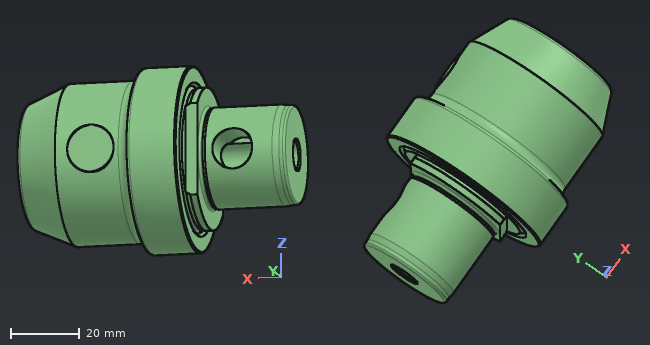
import cadquery as cq
import math

overall_length = 80.0
bore_radius = 4.2
bore_chamfer = 0.6

shank_radius = 15.0
shank_relief_radius = 14.7
shank_end_radius = 14.1
shank_corner_end = 0.7
lead_in_start = 1.8
lead_in_end = 3.8
root_taper_start = 24.1
root_taper_end = 24.9
root_fillet_radius = 0.8

collar_start = 26.1
collar_radius = 21.0
collar_straight_end = 28.2
neck_radius = 20.6
neck_start = 29.5
flats_end = 29.7
flat_half_width = 16.0
undercut_floor_radius = 21.7
undercut_mouth_radius = 22.6
neck_fillet = undercut_floor_radius - neck_radius

flange_start = 29.9
flange_radius = 27.5
flange_front_chamfer = 0.4
flange_round_start = 43.9
flange_rear_round = 1.0
head_radius = 24.0
head_root_fillet = 3.2
nose_cone_start = 67.1
nose_cone_end_x = 78.9
nose_cone_end_radius = 18.9
nose_face_radius = 17.4
nose_arc_mid_x = 79.7
nose_arc_mid_radius = 18.2

shank_hole_x = 15.8
shank_hole_diameter = 12.0
screw_x = 56.4
screw_diameter = 14.0
screw_top = head_radius


def revolve_about_x(profile):
    """Close an X-radius profile and turn it a full circle about the X axis."""
    return profile.close().revolve(360, (0, 0, 0), (1, 0, 0))


def radial_cylinder(x, diameter, inner_y, outer_y):
    """Cylinder along +Y, centred on the shank axis."""
    plane = cq.Plane(origin=(x, inner_y, 0), xDir=(1, 0, 0), normal=(0, 1, 0))
    return cq.Workplane(plane).circle(diameter / 2).extrude(outer_y - inner_y)


def wrench_flats():
    """Two blocks that trim the collar to its width across flats."""
    length = flats_end - collar_start
    depth = flange_radius - flat_half_width
    middle_x = collar_start + length / 2
    middle_y = flat_half_width + depth / 2
    return (
        cq.Workplane("XY")
        .pushPoints([(middle_x, middle_y), (middle_x, -middle_y)])
        .box(length, depth, 2 * flange_radius)
    )


def make_holder():
    """Shank, collar, flange and tapered head with a through bore."""
    round_center_radius = flange_radius - flange_rear_round
    fillet_center_radius = head_radius + head_root_fillet
    center_distance = flange_rear_round + head_root_fillet
    center_rise = fillet_center_radius - round_center_radius
    center_run = math.sqrt(center_distance**2 - center_rise**2)
    tangent_share = flange_rear_round / center_distance
    tangent_x = flange_round_start + tangent_share * center_run
    tangent_radius = round_center_radius + tangent_share * center_rise
    root_end = flange_round_start + center_run

    blank = revolve_about_x(
        cq.Workplane("XY")
        .moveTo(0, bore_radius + bore_chamfer)
        .lineTo(0, shank_end_radius)
        .radiusArc((shank_corner_end, shank_relief_radius), shank_corner_end)
        .lineTo(lead_in_start, shank_relief_radius)
        .lineTo(lead_in_end, shank_radius)
        .lineTo(root_taper_start, shank_radius)
        .lineTo(root_taper_end, shank_relief_radius)
        .lineTo(collar_start - root_fillet_radius, shank_relief_radius)
        .radiusArc((collar_start, shank_relief_radius + root_fillet_radius), -root_fillet_radius)
        .lineTo(collar_start, collar_radius)
        .lineTo(collar_straight_end, collar_radius)
        .lineTo(neck_start, neck_radius)
        .lineTo(flats_end, neck_radius)
        .radiusArc((flats_end + neck_fillet, undercut_floor_radius), -neck_fillet)
        .lineTo(flange_start, undercut_mouth_radius)
        .lineTo(flange_start, flange_radius - flange_front_chamfer)
        .lineTo(flange_start + flange_front_chamfer, flange_radius)
        .lineTo(flange_round_start, flange_radius)
        .radiusArc((tangent_x, tangent_radius), flange_rear_round)
        .radiusArc((root_end, head_radius), -head_root_fillet)
        .lineTo(nose_cone_start, head_radius)
        .lineTo(nose_cone_end_x, nose_cone_end_radius)
        .threePointArc((nose_arc_mid_x, nose_arc_mid_radius), (overall_length, nose_face_radius))
        .lineTo(overall_length, bore_radius)
        .lineTo(bore_chamfer, bore_radius)
    )
    return (
        blank.cut(wrench_flats())
        .cut(radial_cylinder(shank_hole_x, shank_hole_diameter, 0, flange_radius))
        .cut(radial_cylinder(screw_x, screw_diameter, 0, flange_radius))
    )


def make_screw():
    """Clamping screw that fills the radial hole in the head down to the bore."""
    return radial_cylinder(screw_x, screw_diameter, bore_radius, screw_top)


holder = make_holder()
screw = make_screw()

result = cq.Compound.makeCompound([*holder.solids().vals(), screw.val()])